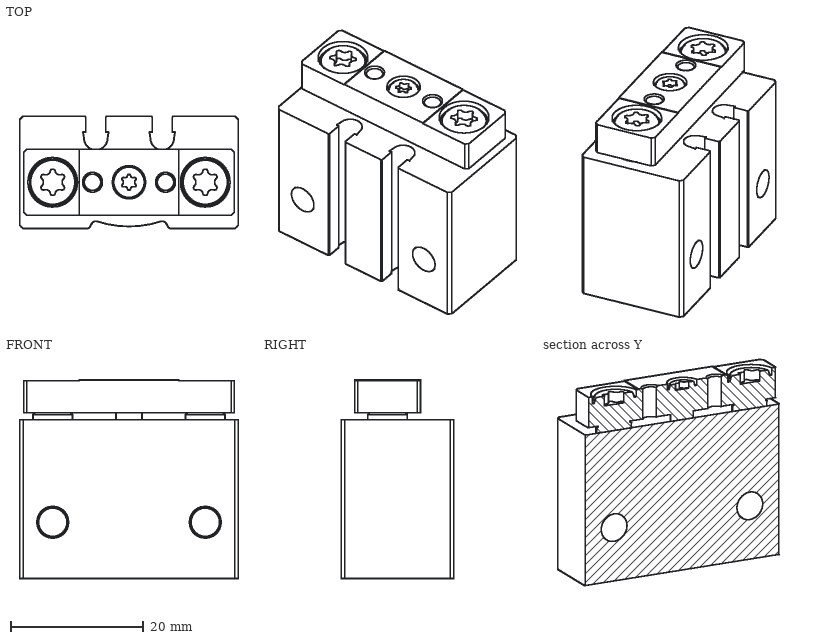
import cadquery as cq
import math


housing_width = 33.0
housing_front = -7.0
housing_back = 10.0
housing_height = 24.0
housing_chamfer = 0.5

groove_half_width = 6.0
groove_root_half_width = 5.45
groove_depth = 1.1
groove_lip_fillet = 0.53
groove_root_fillet = 0.65
bulge_half_width = 4.9
bulge_recess = 0.3

slot_offset = 5.0
slot_neck_width = 3.0
slot_neck_depth = 2.45
slot_ledge_width = 3.83
slot_round_diameter = 3.53
slot_depth = 5.1
slot_mouth_chamfer = 0.15

side_offset = 11.52
mount_hole_height = 8.5
mount_hole_diameter = 4.3
mount_mouth_diameter = 4.8
port_diameter = 3.25
port_setback = 3.43

plate_width = 31.8
plate_depth = 9.95
plate_bottom = 25.0
plate_shoulder_top = 29.9
plate_top = 30.0
plate_pad_width = 14.98
plate_corner_chamfer = 0.45
pin_hole_offset = 5.5
pin_hole_diameter = 2.48
pin_mouth_diameter = 3.0

rod_diameter = 6.0
rod_chamfer = 0.25
center_rod_diameter = 4.0

head_recess = 0.2
head_taper_height = 0.4
large_counterbore_diameter = 7.5
large_head_diameter = 7.0
large_shoulder_diameter = 6.65
large_head_flat_diameter = 5.6
large_socket_diameter = 4.0
large_socket_waist = 2.8
large_lobe_radius = 0.35
large_socket_depth = 1.55
small_counterbore_diameter = 5.0
small_head_diameter = 4.6
small_shoulder_diameter = 4.35
small_head_flat_diameter = 3.7
small_socket_diameter = 2.4
small_socket_waist = 1.68
small_lobe_radius = 0.23
small_socket_depth = 1.0
socket_lobes = 6


def countersink(mouth_diameter, hole_diameter):
    """45-degree cone, opening at Z = 0 and narrowing downwards to the hole diameter."""
    depth = (mouth_diameter - hole_diameter) / 2
    return cq.Workplane("XY").add(
        cq.Solid.makeCone(hole_diameter / 2, mouth_diameter / 2, depth, pnt=(0, 0, -depth))
    )



def groove_cutter():
    """Front groove with sharp corners; the bulge is an arc across its floor."""
    root_y = housing_front + groove_depth
    bulge_y = housing_front + bulge_recess
    return (
        cq.Workplane("XY")
        .moveTo(-groove_half_width, housing_front)
        .lineTo(-groove_root_half_width, root_y)
        .lineTo(-bulge_half_width, root_y)
        .threePointArc((0, bulge_y), (bulge_half_width, root_y))
        .lineTo(groove_root_half_width, root_y)
        .lineTo(groove_half_width, housing_front)
        .close()
        .extrude(housing_height)
    )


def sensor_slot_cutter(x):
    round_radius = slot_round_diameter / 2
    mouth_half = slot_neck_width / 2 + slot_mouth_chamfer
    neck_half = slot_neck_width / 2
    ledge_half = slot_ledge_width / 2
    ledge_y = -slot_neck_depth
    round_y = round_radius - slot_depth
    return (
        cq.Workplane("XY", origin=(x, housing_back, 0))
        .moveTo(-mouth_half, 0)
        .lineTo(-neck_half, -slot_mouth_chamfer)
        .lineTo(-neck_half, ledge_y)
        .lineTo(-ledge_half, ledge_y)
        .lineTo(-round_radius, round_y)
        .threePointArc((0, -slot_depth), (round_radius, round_y))
        .lineTo(ledge_half, ledge_y)
        .lineTo(neck_half, ledge_y)
        .lineTo(neck_half, -slot_mouth_chamfer)
        .lineTo(mouth_half, 0)
        .close()
        .extrude(housing_height)
    )


def mount_hole_cutter(x):
    """Hole along Y with a countersunk front mouth, and a vertical port from the underside."""
    depth = housing_back - housing_front
    hole = cq.Workplane("XY").circle(mount_hole_diameter / 2).extrude(-depth)
    hole = hole.union(countersink(mount_mouth_diameter, mount_hole_diameter))
    hole = hole.rotate((0, 0, 0), (1, 0, 0), 90).translate((x, housing_front, mount_hole_height))
    port = (
        cq.Workplane("XY", origin=(x, housing_front + port_setback, 0))
        .circle(port_diameter / 2)
        .extrude(mount_hole_height)
    )
    return hole.union(port)


def round_upright_edge(body, corner, radius):
    """Fillet the vertical edge that stands at the given X, Y corner."""
    middle = (*corner, housing_height / 2)
    return body.edges("|Z").edges(cq.NearestToPointSelector(middle)).fillet(radius)


def make_housing():
    depth = housing_back - housing_front
    body = (
        cq.Workplane("XY", origin=(0, (housing_front + housing_back) / 2, 0))
        .rect(housing_width, depth)
        .extrude(housing_height)
        .edges("|Z")
        .chamfer(housing_chamfer)
    )
    body = body.cut(groove_cutter())
    for side in (-1, 1):
        lip = (side * groove_half_width, housing_front)
        root = (side * groove_root_half_width, housing_front + groove_depth)
        body = round_upright_edge(body, lip, groove_lip_fillet)
        body = round_upright_edge(body, root, groove_root_fillet)
    for side in (-1, 1):
        body = body.cut(sensor_slot_cutter(side * slot_offset))
        body = body.cut(mount_hole_cutter(side * side_offset))
    return body



def polar(radius, angle):
    return (radius * math.cos(angle), radius * math.sin(angle))


def socket_cutter(outer_diameter, waist_diameter, lobe_radius, depth):
    """Six-lobed socket going down from Z = 0: lobe arcs joined by tangent waist arcs."""
    lobe_distance = outer_diameter / 2 - lobe_radius
    waist = waist_diameter / 2
    half_pitch = math.pi / socket_lobes
    along = 2 * lobe_distance * math.cos(half_pitch)
    waist_radius = (lobe_radius**2 - lobe_distance**2 - waist**2 + along * waist) / (
        2 * waist - along - 2 * lobe_radius
    )
    share = lobe_radius / (lobe_radius + waist_radius)
    lobe_center = (lobe_distance, 0)
    waist_center = polar(waist + waist_radius, half_pitch)
    touch_x = lobe_center[0] + share * (waist_center[0] - lobe_center[0])
    touch_y = share * waist_center[1]
    touch_radius = math.hypot(touch_x, touch_y)
    touch_angle = math.atan2(touch_y, touch_x)

    outline = cq.Workplane("XY").moveTo(*polar(touch_radius, math.pi / 2 - touch_angle))
    for lobe in range(socket_lobes):
        angle = math.pi / 2 + lobe * 2 * half_pitch
        outline = outline.threePointArc(
            polar(outer_diameter / 2, angle), polar(touch_radius, angle + touch_angle)
        )
        outline = outline.threePointArc(
            polar(waist, angle + half_pitch),
            polar(touch_radius, angle + 2 * half_pitch - touch_angle),
        )
    return outline.close().extrude(-depth)


def screw_head(head_diameter, shoulder_diameter, flat_diameter):
    """Head with a tapered side and a rounded shoulder; its flat top is at Z = 0."""
    flat_radius = flat_diameter / 2
    rounding = (shoulder_diameter - flat_diameter) / 2
    depth = rounding + head_taper_height
    arc_offset = rounding * math.sqrt(0.5)
    return (
        cq.Workplane("XZ")
        .moveTo(0, -depth)
        .lineTo(head_diameter / 2, -depth)
        .lineTo(flat_radius + rounding, -rounding)
        .threePointArc((flat_radius + arc_offset, arc_offset - rounding), (flat_radius, 0))
        .lineTo(0, 0)
        .close()
        .revolve(360, (0, 0, 0), (0, 1, 0))
    )


def screw_cutter(counterbore_diameter, head, socket):
    """What is removed around and inside a sunk screw head; Z = 0 is the plate surface."""
    head_height = head.val().BoundingBox().zlen
    counterbore = cq.Workplane("XY").circle(counterbore_diameter / 2).extrude(-head_recess - head_height)
    sunk_head = head.translate((0, 0, -head_recess))
    sunk_socket = socket.translate((0, 0, -head_recess))
    return counterbore.cut(sunk_head).union(sunk_socket)


def pin_hole_cutter():
    hole = cq.Workplane("XY").circle(pin_hole_diameter / 2).extrude(plate_bottom - plate_top)
    return hole.union(countersink(pin_mouth_diameter, pin_hole_diameter))


def rod(x, diameter):
    return (
        cq.Workplane("XY", origin=(x, 0, housing_height))
        .circle(diameter / 2)
        .extrude(plate_bottom - housing_height)
    )


def make_moving_plate():
    plate = (
        cq.Workplane("XY", origin=(0, 0, plate_bottom))
        .rect(plate_width, plate_depth)
        .extrude(plate_shoulder_top - plate_bottom)
        .edges("|Z")
        .chamfer(plate_corner_chamfer)
    )
    pad = (
        cq.Workplane("XY", origin=(0, 0, plate_bottom))
        .rect(plate_pad_width, plate_depth)
        .extrude(plate_top - plate_bottom)
    )
    plate = plate.union(pad)

    large_socket = socket_cutter(
        large_socket_diameter, large_socket_waist, large_lobe_radius, large_socket_depth
    )
    large_head = screw_head(large_head_diameter, large_shoulder_diameter, large_head_flat_diameter)
    large_screw = screw_cutter(large_counterbore_diameter, large_head, large_socket)
    small_socket = socket_cutter(
        small_socket_diameter, small_socket_waist, small_lobe_radius, small_socket_depth
    )
    small_head = screw_head(small_head_diameter, small_shoulder_diameter, small_head_flat_diameter)
    small_screw = screw_cutter(small_counterbore_diameter, small_head, small_socket)
    plate = plate.cut(small_screw.translate((0, 0, plate_top)))
    plate = plate.union(rod(0, center_rod_diameter))
    for side in (-1, 1):
        plate = plate.cut(large_screw.translate((side * side_offset, 0, plate_shoulder_top)))
        plate = plate.cut(pin_hole_cutter().translate((side * pin_hole_offset, 0, plate_top)))
        side_rod = rod(side * side_offset, rod_diameter).faces(">Z").chamfer(rod_chamfer)
        plate = plate.union(side_rod)
    return plate


housing = make_housing()
moving_plate = make_moving_plate()

result = cq.Compound.makeCompound([housing.val(), moving_plate.val()])